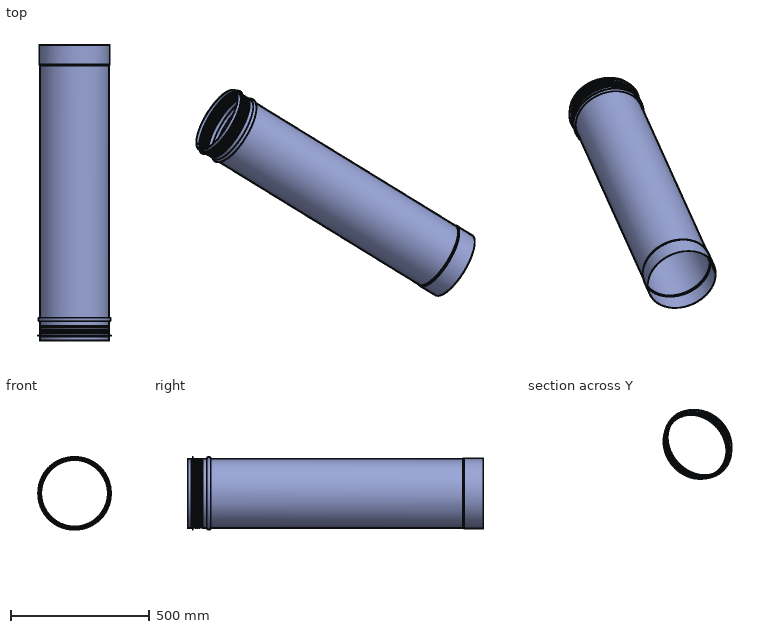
import cadquery as cq
import math

total_length = 1070.0
front_end_y = -total_length / 2

sheet = 0.5
seam_gap = 0.1
pipe_radius = 251.6 / 2

socket_radius = 255.6 / 2
socket_length = 69.5
taper_length = 5.5

bead_center = 76.8
bead_width = 14.0
bead_height = 6.0

recess_radius = 247.0 / 2
front_shoulder_start = 13.5
front_shoulder_angle = 29.0
rear_shoulder_end = 54.2
rear_shoulder_angle = 20.0
rear_recess_front = 41.6
land_angle = 20.0

groove_floor_radius = 120.6
groove_floor_width = 0.8
groove_wall_angle = 60.0
front_groove_rear = 30.0
rear_groove_rear = 39.3

seal_radius = 250.6 / 2
lip_radius = 264.6 / 2
flat_seal_rear = 50.7
lip_root_thickness = 2.0
lip_tip_thickness = 1.0


def rise(length, angle):
    """Radius gained by a cone of the given slope over a length along the axis."""
    return length * math.tan(math.radians(angle))


def run(height, angle):
    """Length along the axis in which a cone of the given slope gains the given radius."""
    return height / math.tan(math.radians(angle))


recess_depth = pipe_radius - recess_radius
front_shoulder_end = front_shoulder_start + run(recess_depth, front_shoulder_angle)
lip_front = front_shoulder_end
rear_shoulder_start = rear_shoulder_end - run(recess_depth, rear_shoulder_angle)
seal_foot_radius = recess_radius + rise(flat_seal_rear - rear_shoulder_start, rear_shoulder_angle)
land_edge_drop = rise(rear_recess_front - rear_groove_rear, land_angle)

front_floor_front = front_groove_rear - groove_floor_width
rear_floor_front = rear_groove_rear - groove_floor_width
front_wall_top = front_floor_front - run(recess_radius - groove_floor_radius, groove_wall_angle)
rear_wall_top = rear_floor_front - run(pipe_radius - groove_floor_radius, groove_wall_angle)
lip_seal_rear = front_wall_top - run(seal_radius - recess_radius, groove_wall_angle)


def at(corner):
    """Sketch point of a profile corner, on the -X side of the axis."""
    radius, distance = corner
    return (-radius, front_end_y + distance)


def turn(profile, sweep=360):
    """Close the profile and turn it about the Y axis."""
    return profile.close().revolve(sweep, (0, 0, 0), (0, 1, 0))


def inner_side(corners):
    """The corners moved one sheet thickness towards the axis, with mitred bends."""
    inner = []
    for i, (radius, distance) in enumerate(corners):
        nearby = corners[max(i - 1, 0):i + 2]
        normals = []
        for (r0, d0), (r1, d1) in zip(nearby, nearby[1:]):
            length = math.hypot(r1 - r0, d1 - d0)
            normals.append(((d0 - d1) / length, (r1 - r0) / length))
        (r_before, d_before) = normals[0]
        (r_after, d_after) = normals[-1]
        scale = sheet / (1 + r_before * r_after + d_before * d_after)
        inner.append((radius + (r_before + r_after) * scale, distance + (d_before + d_after) * scale))
    return inner


def make_pipe():
    """Rolled sheet: spigot with grooves and recesses, bead, plain barrel and socket."""
    spigot = [
        (pipe_radius, 0),
        (pipe_radius, front_shoulder_start),
        (recess_radius, front_shoulder_end),
        (recess_radius, front_wall_top),
        (groove_floor_radius, front_floor_front),
        (groove_floor_radius, front_groove_rear),
        (pipe_radius, front_groove_rear),
        (pipe_radius, rear_wall_top),
        (groove_floor_radius, rear_floor_front),
        (groove_floor_radius, rear_groove_rear),
        (pipe_radius - land_edge_drop, rear_groove_rear),
        (pipe_radius, rear_recess_front),
        (recess_radius, rear_recess_front),
        (recess_radius, rear_shoulder_start),
        (pipe_radius, rear_shoulder_end),
        (pipe_radius, bead_center - bead_width / 2),
    ]
    taper_rear = total_length - socket_length
    barrel = [
        (pipe_radius, bead_center + bead_width / 2),
        (pipe_radius, taper_rear - taper_length),
        (socket_radius, taper_rear),
        (socket_radius, total_length),
    ]
    bead_top = (pipe_radius + bead_height, bead_center)
    bead_top_inside = (pipe_radius + bead_height - sheet, bead_center)
    spigot_inside = inner_side(spigot)
    barrel_inside = inner_side(barrel)

    profile = cq.Workplane("XY").polyline([at(corner) for corner in spigot])
    profile = profile.threePointArc(at(bead_top), at(barrel[0]))
    for corner in barrel[1:] + barrel_inside[::-1]:
        profile = profile.lineTo(*at(corner))
    profile = profile.threePointArc(at(bead_top_inside), at(spigot_inside[-1]))
    for corner in spigot_inside[-2::-1]:
        profile = profile.lineTo(*at(corner))
    open_angle = math.degrees(seam_gap / pipe_radius)
    rolled = turn(profile, 360 - open_angle)
    return rolled.rotate((0, 0, 0), (0, 1, 0), open_angle / 2)


def make_seal(corners):
    """Closed ring with the given cross-section."""
    return turn(cq.Workplane("XY").polyline([at(corner) for corner in corners]))


pipe = make_pipe()

lip_seal = make_seal([
    (recess_radius, lip_front),
    (lip_radius, lip_front),
    (lip_radius, lip_front + lip_tip_thickness),
    (seal_radius, lip_front + lip_root_thickness),
    (seal_radius, lip_seal_rear),
    (recess_radius, front_wall_top),
])

flat_seal = make_seal([
    (recess_radius, rear_recess_front),
    (seal_radius, rear_recess_front),
    (seal_radius, flat_seal_rear),
    (seal_foot_radius, flat_seal_rear),
    (recess_radius, rear_shoulder_start),
])

result = cq.Compound.makeCompound([pipe.val(), lip_seal.val(), flat_seal.val()])